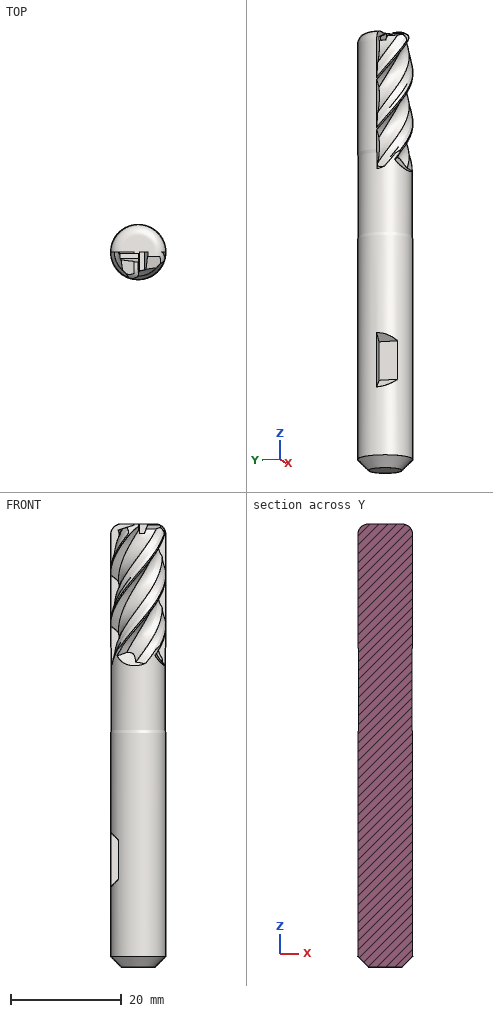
import cadquery as cq
import math


length = 80.0
diameter = 10.0
radius = diameter / 2
reach = 2 * diameter
tooth_count = 4
tooth_pitch = 360 / tooth_count

shank_chamfer = 2.0
shank_top = 42.2
flat_depth = 1.4
flat_length = 7.0
flat_middle = 19.4

neck_radius = 4.9
neck_bottom = 42.8
neck_top = 57.4
head_bottom = 58.0
corner_radius = 2.0

helix_lead = 36.8
flute_bottom = 54.0
runout_bottom = 54.4
runout_turn = -8
runout_top = 60.0
runout_waist = 2.3
runout_radius = 9.6
core_radius = 3.4
edge_radius = 5.1
rake_foot = (12, 3.6)
flute_floor = (28, core_radius)
heel_foot = (43, 3.6)
heel_top = (58, 4.3)
relief_start = (78, 4.8)

gash_width = 0.9
gash_offset = 0.2
gash_depth = 1.8
gash_wall_angle = 20
relief_inset = 0.8
relief_angle = 18
relief_depth = 0.2


def polar(angle, distance):
    return (distance * math.cos(math.radians(angle)), distance * math.sin(math.radians(angle)))


def make_envelope():
    """Round body without any flutes or flats."""
    return (
        cq.Workplane("XZ")
        .moveTo(0, 0)
        .lineTo(radius - shank_chamfer, 0)
        .lineTo(radius, shank_chamfer)
        .lineTo(radius, shank_top)
        .lineTo(neck_radius, neck_bottom)
        .lineTo(neck_radius, neck_top)
        .lineTo(radius, head_bottom)
        .lineTo(radius, length - corner_radius)
        .radiusArc((radius - corner_radius, length), -corner_radius)
        .lineTo(0, length)
        .close()
        .revolve(360, (0, 0), (0, 1))
    )


def make_fluted_bar():
    """Twisted four-tooth bar whose rake edges meet the X and Y axes at the tip."""
    height = length - flute_bottom
    twist = 360 * height / helix_lead
    section = cq.Workplane("XY").workplane(offset=flute_bottom).moveTo(*polar(-twist, edge_radius))
    for tooth in range(tooth_count):
        start = tooth * tooth_pitch - twist
        rake, floor, heel, heel_end, relief = [
            polar(start + angle, distance)
            for angle, distance in (rake_foot, flute_floor, heel_foot, heel_top, relief_start)
        ]
        next_edge = polar(start + tooth_pitch, edge_radius)
        section = section.lineTo(*rake).threePointArc(floor, heel).lineTo(*heel_end).lineTo(*relief)
        if tooth < tooth_count - 1:
            section = section.lineTo(*next_edge)
    return section.close().twistExtrude(height, twist)


def make_runout_wedge():
    """Full width below the flutes, narrowing between two concave sides above."""
    return (
        cq.Workplane("XZ")
        .moveTo(-reach, 0)
        .lineTo(reach, 0)
        .lineTo(reach, runout_bottom)
        .lineTo(neck_radius, runout_bottom)
        .radiusArc((runout_waist, runout_top), runout_radius)
        .lineTo(-runout_waist, runout_top)
        .radiusArc((-neck_radius, runout_bottom), runout_radius)
        .lineTo(-reach, runout_bottom)
        .close()
        .extrude(reach, both=True)
    )


def make_runout():
    """Four-sided core below the flutes, so that each flute fades out in its own scoop."""
    wedge = make_runout_wedge().rotate((0, 0, 0), (0, 0, 1), runout_turn)
    return wedge.intersect(wedge.rotate((0, 0, 0), (0, 0, 1), tooth_pitch))


def make_end_cut():
    """Gash ahead of the -X tooth and the relief of the tooth in front of it, as one cutter."""
    floor = length - gash_depth
    lean = gash_depth * math.tan(math.radians(gash_wall_angle))
    gash = (
        cq.Workplane("YZ")
        .polyline([
            (-gash_offset, length),
            (-gash_offset, floor),
            (-gash_offset - gash_width, floor),
            (-gash_offset - gash_width - lean, length),
        ])
        .close()
        .extrude(-reach)
    )
    relief_drop = (reach - relief_inset) * math.tan(math.radians(relief_angle))
    relief = (
        cq.Workplane("XZ")
        .polyline([
            (-relief_inset, length),
            (-relief_inset, length - relief_depth),
            (-reach, length - relief_depth - relief_drop),
            (-reach, length),
        ])
        .close()
        .extrude(reach)
    )
    return gash.union(relief)


def make_flat_cut():
    """Clamping flat on the -X side with 45 degree ends."""
    half = flat_length / 2
    mouth_half = half + 2 * flat_depth
    return (
        cq.Workplane("XZ")
        .polyline([
            (flat_depth - radius, flat_middle - half),
            (flat_depth - radius, flat_middle + half),
            (-radius - flat_depth, flat_middle + mouth_half),
            (-radius - flat_depth, flat_middle - mouth_half),
        ])
        .close()
        .extrude(reach)
    )


front_half = cq.Workplane("XY").box(2 * reach, reach, length).translate((0, -reach / 2, length / 2))
envelope = make_envelope()

flute_waste = envelope.intersect(front_half).cut(make_runout()).cut(make_fluted_bar())
result = envelope.cut(flute_waste)

end_cut = make_end_cut()
for angle in (0, tooth_pitch):
    turned_cut = end_cut.rotate((0, 0, 0), (0, 0, 1), angle)
    result = result.cut(turned_cut.intersect(front_half))

result = result.cut(make_flat_cut())